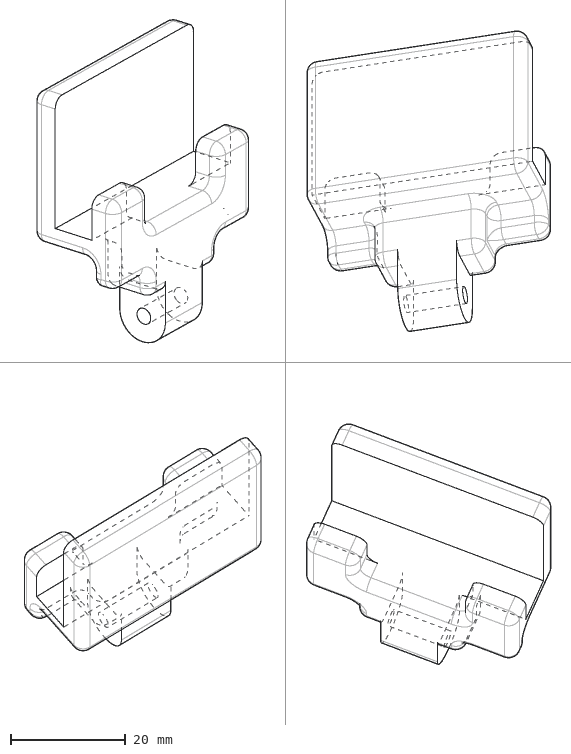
import cadquery as cq

width = 40.0
depth = 18.0
height = 50.0
wall = 5.0
slot_floor_z = 25.0
web_bottom_z = 21.0

finger_top_z = 33.0
finger_bottom_z = 16.0
gap_width = 20.0

block_width = 20.0
block_depth = 10.0
block_bottom_z = 11.0

lug_width = 10.7
lug_radius = block_depth / 2
hole_diameter = 3.0
hole_offset = 0.3

edge_radius = 2.0
heel_radius = 1.5
margin = 0.01

slot_back_x = wall
slot_front_x = depth - wall
block_back_x = depth - block_depth


def box(x_range, y_width, z_range):
    """Box centred on the XZ plane, given by its X and Z limits."""
    x_min, x_max = x_range
    z_min, z_max = z_range
    return (
        cq.Workplane("XY")
        .box(x_max - x_min, y_width, z_max - z_min, centered=(False, True, False))
        .translate((x_min, 0, z_min))
    )


def sharp_body():
    """Plate, web, fingers and central block before rounding."""
    plate = box((0, wall), width, (web_bottom_z, height))
    web = box((0, depth), width, (web_bottom_z, slot_floor_z))
    front_wall = box((slot_front_x, depth), width, (finger_bottom_z, finger_top_z))
    gap = box((slot_front_x, depth), gap_width, (slot_floor_z, finger_top_z))
    block = box((block_back_x, depth), block_width, (block_bottom_z, slot_floor_z))
    return plate.union(web).union(front_wall).cut(gap).union(block).clean()


def edges_inside(x_range, z_range):
    """Selector of the edges that lie wholly within the given X and Z limits."""
    return cq.selectors.BoxSelector(
        (x_range[0] - margin, -width, z_range[0] - margin),
        (x_range[1] + margin, width, z_range[1] + margin),
        boundingbox=True,
    )


def round_edges(body):
    """Round every edge except those bounding the slot faces."""
    slot_edges = edges_inside((slot_back_x, slot_front_x), (slot_floor_z, height))
    heel_edges = edges_inside((slot_front_x, slot_front_x), (finger_bottom_z, finger_bottom_z))
    main_edges = cq.selectors.InverseSelector(slot_edges + heel_edges)
    rounded = body.edges(main_edges).fillet(edge_radius)
    return rounded.edges(heel_edges).fillet(heel_radius)


def hinge_lug():
    """Round-ended lug, flush with the back and front of the block, with a cross hole."""
    centre_x = block_back_x + lug_radius
    side = cq.Workplane("XZ", origin=(centre_x, lug_width / 2, lug_radius))
    shank = box((block_back_x, depth), lug_width, (lug_radius, block_bottom_z + edge_radius))
    tip = side.circle(lug_radius).extrude(lug_width)
    hole = side.center(hole_offset, 0).circle(hole_diameter / 2).extrude(lug_width)
    return shank.union(tip).cut(hole)


result = round_edges(sharp_body()).union(hinge_lug())